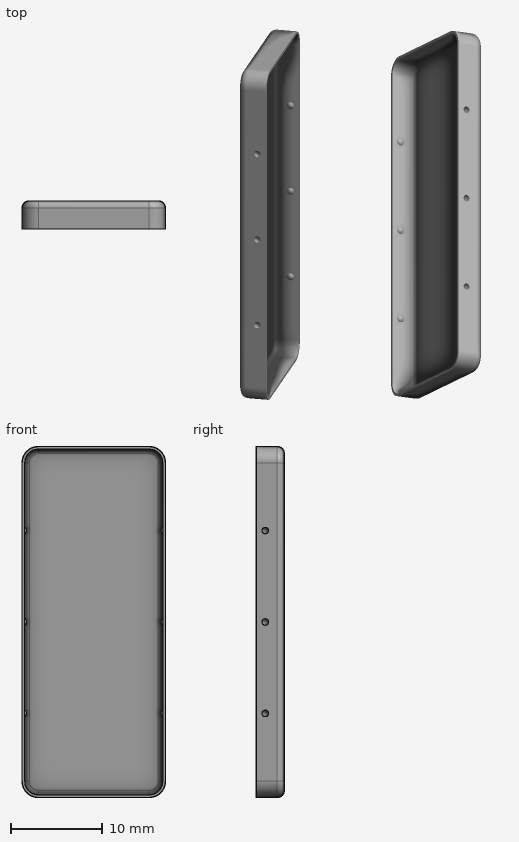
import cadquery as cq

width = 15.7
depth = 3.1
height = 38.4
wall = 0.3

corner_radius = 1.8
back_edge_radius = 0.8

dimple_radius = 0.36
bump_radius = 0.5
dimple_from_rim = 1.0
dimple_pitch = 10.0
dimple_levels = (-dimple_pitch, 0, dimple_pitch)

rim_y = -depth / 2
dimple_y = rim_y + dimple_from_rim


def rounded_block(inset):
    """Block starting at the rim, shrunk by inset on every face except the rim."""
    return (
        cq.Workplane("XY")
        .box(width - 2 * inset, depth - inset, height - 2 * inset)
        .translate((0, -inset / 2, 0))
        .edges("|Y")
        .fillet(corner_radius - inset)
        .faces(">Y")
        .edges()
        .fillet(back_edge_radius - inset)
    )


def ball(radius, side, z):
    """Sphere centred on the outer face of a long side wall, with its poles along X."""
    centre = (side * width / 2, dimple_y, z)
    upright = cq.Workplane("XY").sphere(radius)
    return upright.rotate((0, 0, 0), (0, 1, 0), side * 90).translate(centre)


cavity = rounded_block(wall)
result = rounded_block(0)
dimple_places = [(side, z) for side in (-1, 1) for z in dimple_levels]

for side, z in dimple_places:
    cavity = cavity.cut(ball(bump_radius, side, z))

result = result.cut(cavity)
for side, z in dimple_places:
    result = result.cut(ball(dimple_radius, side, z))